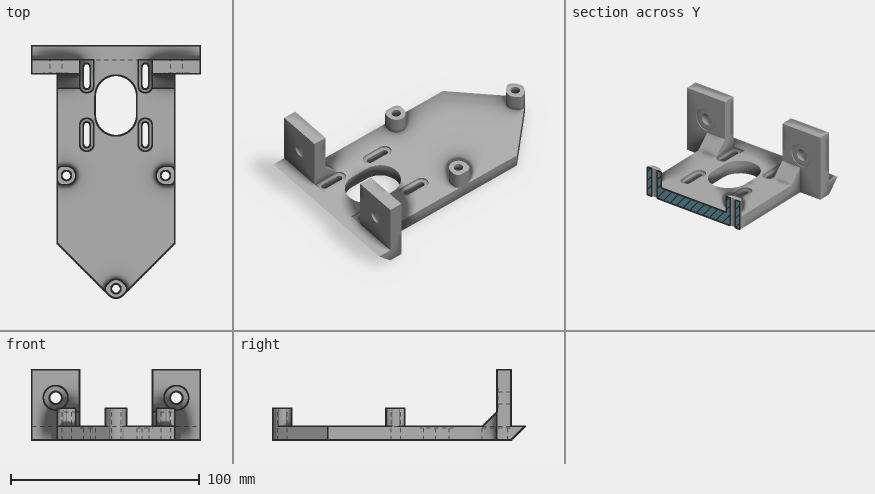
import cadquery as cq
import math


plate_width = 62.5
plate_thickness = 7.5

post_size = 10.0
post_top = 17.0
post_hole_diameter = 5.0
post_sharp_radius = 3.0
post_round_radius = post_size / 2
side_post_y = 60.0
side_post_x = plate_width / 2 - post_size / 2

rear_width = 89.5
wall_thickness = 7.5
wall_top = 37.5
lip_depth = 7.5
overall_length = 133.88
lip_rear_y = overall_length - post_round_radius
wall_rear_y = lip_rear_y - lip_depth
wall_front_y = wall_rear_y - wall_thickness
wall_hole_diameter = 6.5
wall_counterbore_diameter = 13.0
wall_counterbore_depth = 0.5
gusset_leg = 7.5

motor_opening_diameter = 22.0
motor_travel = 10.0
motor_screw_pitch = 31.0
slot_width = 3.5
recess_width = 7.5
recess_depth = 1.0
recess_length = recess_width + motor_travel
motor_y = wall_rear_y - recess_length / 2 - motor_screw_pitch / 2

wall_inner_x = motor_screw_pitch / 2 + recess_width / 2
wall_width = rear_width / 2 - wall_inner_x
wall_hole_x = wall_inner_x + wall_width / 2
wall_hole_z = (plate_thickness + wall_top) / 2


def make_box(x_min, x_max, y_min, y_max, z_min, z_max):
    """Box given by its limits along each axis."""
    size = (x_max - x_min, y_max - y_min, z_max - z_min)
    return cq.Workplane("XY").box(*size, centered=False).translate((x_min, y_min, z_min))


def make_plate():
    """Plate with straight sides and a 45 degree point rounded about the tip post."""
    half_width = plate_width / 2
    tangent = post_round_radius * math.sin(math.pi / 4)
    shoulder_y = half_width - 2 * tangent
    return (
        cq.Workplane("XY")
        .moveTo(-half_width, wall_rear_y)
        .lineTo(-half_width, shoulder_y)
        .lineTo(-tangent, -tangent)
        .threePointArc((0, -post_round_radius), (tangent, -tangent))
        .lineTo(half_width, shoulder_y)
        .lineTo(half_width, wall_rear_y)
        .close()
        .extrude(plate_thickness)
    )


def make_rear_bar():
    """Full-width bar whose rear lip is undercut by a slope from the underside."""
    return (
        cq.Workplane("YZ")
        .moveTo(wall_front_y, 0)
        .lineTo(wall_rear_y, 0)
        .lineTo(lip_rear_y, plate_thickness)
        .lineTo(wall_front_y, plate_thickness)
        .close()
        .extrude(rear_width / 2, both=True)
    )


def make_wall(side):
    """Upright wall with its gusset, on the side given by the sign of X."""
    wall = make_box(wall_inner_x, rear_width / 2, wall_front_y, wall_rear_y, 0, wall_top)
    gusset = (
        cq.Workplane("YZ", origin=(wall_inner_x, 0, 0))
        .moveTo(wall_front_y, plate_thickness)
        .lineTo(wall_front_y, plate_thickness + gusset_leg)
        .lineTo(wall_front_y - gusset_leg, plate_thickness)
        .close()
        .extrude(plate_width / 2 - wall_inner_x)
    )
    wall = wall.union(gusset)
    if side < 0:
        wall = wall.mirror("YZ")
    return wall


def make_post(x, y, rotation, corner_radii):
    """Square post turned about its axis; the corner radii run counterclockwise from +X +Y."""
    half_size = post_size / 2
    post = cq.Workplane("XY").rect(post_size, post_size).extrude(post_top)
    for corner, radius in enumerate(corner_radii):
        inset = half_size - radius
        arc_middle = inset + radius * math.sin(math.pi / 4)
        waste = (
            cq.Workplane("XY")
            .moveTo(half_size, inset)
            .lineTo(half_size, half_size)
            .lineTo(inset, half_size)
            .threePointArc((arc_middle, arc_middle), (half_size, inset))
            .close()
            .extrude(post_top)
        )
        post = post.cut(waste.rotate((0, 0, 0), (0, 0, 1), corner * 90))
    return post.rotate((0, 0, 0), (0, 0, 1), rotation).translate((x, y, 0))


def make_slot(x, y, width, length, z_min, z_max):
    """Round-ended slot cutter running along Y."""
    return (
        cq.Workplane("XY", origin=(x, y, z_min))
        .slot2D(length, width, 90)
        .extrude(z_max - z_min)
    )


def make_motor_slot(x_sign, y_sign):
    """Screw slot with a shallow recess; the rear recesses end square at the wall rear face."""
    x = x_sign * motor_screw_pitch / 2
    y = motor_y + y_sign * motor_screw_pitch / 2
    recess_floor = plate_thickness - recess_depth
    slot = make_slot(x, y, slot_width, slot_width + motor_travel, 0, plate_thickness)
    recess = make_slot(x, y, recess_width, recess_length, recess_floor, plate_thickness)
    if y_sign > 0:
        half_width = recess_width / 2
        square_end = make_box(x - half_width, x + half_width, y, wall_rear_y, recess_floor, plate_thickness)
        recess = recess.union(square_end)
    return slot.union(recess)


def make_wall_hole(side):
    """Through hole along Y with a shallow counterbore in the wall's front face."""
    front_plane = cq.Workplane("XZ", origin=(side * wall_hole_x, wall_front_y, wall_hole_z))
    hole = front_plane.circle(wall_hole_diameter / 2).extrude(-wall_thickness)
    counterbore = front_plane.circle(wall_counterbore_diameter / 2).extrude(-wall_counterbore_depth)
    return hole.union(counterbore)


tip_radii = (post_round_radius, post_sharp_radius) * 2
side_radii = (post_round_radius, post_sharp_radius, post_sharp_radius, post_round_radius)
posts = (
    (0, 0, 45, tip_radii),
    (-side_post_x, side_post_y, 0, side_radii),
    (side_post_x, side_post_y, 180, side_radii),
)

result = make_plate().union(make_rear_bar())
for side in (-1, 1):
    result = result.union(make_wall(side))
for post in posts:
    result = result.union(make_post(*post))

for x, y, _, _ in posts:
    post_hole = cq.Workplane("XY").center(x, y).circle(post_hole_diameter / 2).extrude(post_top)
    result = result.cut(post_hole)

motor_opening_length = motor_opening_diameter + motor_travel
result = result.cut(make_slot(0, motor_y, motor_opening_diameter, motor_opening_length, 0, plate_thickness))

for side in (-1, 1):
    result = result.cut(make_wall_hole(side))
    for end in (-1, 1):
        result = result.cut(make_motor_slot(side, end))